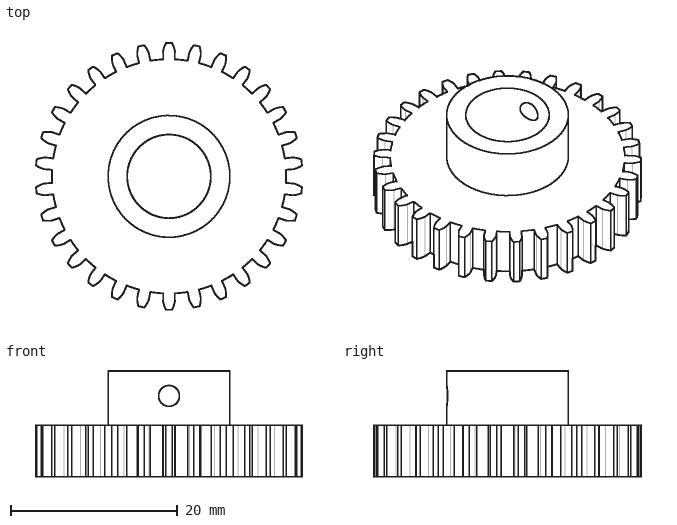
import cadquery as cq
import math

module = 1.0
tooth_count = 30
pitch_radius = module * tooth_count / 2
tip_radius = pitch_radius + module
root_radius = 14.05
face_width = 6.2

root_half_width = 0.70
pitch_half_width = 0.72
addendum_half_width = 0.59
tip_half_width = 0.37

hub_diameter = 14.6
total_height = 12.7
bore_diameter = 10.0

screw_hole_diameter = 2.5
screw_hole_drop = 3.0


def height_on_circle(radius, half_width):
    """Distance along the tooth centre line to a point of the circle."""
    return math.sqrt(radius**2 - half_width**2)


def make_tooth():
    """One tooth centred on +Y, straight up to the pitch circle and rounded above it."""
    root_y = height_on_circle(root_radius, root_half_width)
    pitch_y = height_on_circle(pitch_radius, pitch_half_width)
    addendum_y = height_on_circle((pitch_radius + tip_radius) / 2, addendum_half_width)
    tip_y = height_on_circle(tip_radius, tip_half_width)
    return (
        cq.Workplane("XY")
        .moveTo(-root_half_width, root_y)
        .lineTo(-pitch_half_width, pitch_y)
        .threePointArc((-addendum_half_width, addendum_y), (-tip_half_width, tip_y))
        .threePointArc((0, tip_radius), (tip_half_width, tip_y))
        .threePointArc((addendum_half_width, addendum_y), (pitch_half_width, pitch_y))
        .lineTo(root_half_width, root_y)
        .lineTo(0, hub_diameter / 2)
        .close()
        .extrude(face_width)
    )


def make_gear():
    """Root disc with the teeth spaced evenly around it."""
    gear = cq.Workplane("XY").circle(root_radius).extrude(face_width)
    tooth = make_tooth()
    for index in range(tooth_count):
        angle = index * 360 / tooth_count
        gear = gear.union(tooth.rotate((0, 0, 0), (0, 0, 1), angle))
    return gear


def make_screw_hole():
    """Cutter from the axis out through the -Y wall."""
    return (
        cq.Workplane("XZ")
        .center(0, total_height - screw_hole_drop)
        .circle(screw_hole_diameter / 2)
        .extrude(hub_diameter)
    )


hub = cq.Workplane("XY").circle(hub_diameter / 2).extrude(total_height)
bore = cq.Workplane("XY").circle(bore_diameter / 2).extrude(total_height)

result = make_gear().union(hub).cut(bore).cut(make_screw_hole())